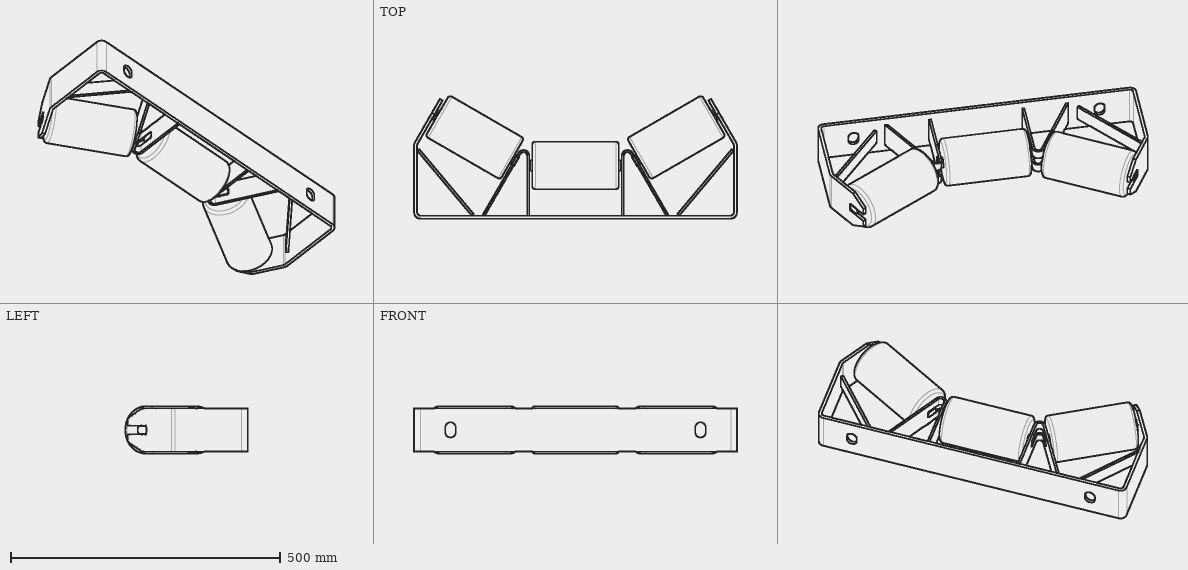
import cadquery as cq
import math

FRAME_LENGTH = 600.0
FRAME_WIDTH = 80.5
FRAME_THICKNESS = 6.0
FRAME_BEND_RADIUS = 12.0
TROUGH_ANGLE = 30.0
BEND_HEIGHT = 136.0
ARM_LENGTH = 93.0
TIP_CUT_LENGTH = 30.0
TIP_CUT_DEPTH = 18.0

MOUNT_SPACING = 464.5
MOUNT_WIDTH = 19.0
MOUNT_HEIGHT = 28.0

SUPPORT_WIDTH = 50.5
SUPPORT_THICKNESS = 4.0
SUPPORT_BEND_RADIUS = 11.0
SUPPORT_FACE_X = 86.0
SUPPORT_BEND_Y = 117.0

BRACE_WIDTH = 30.0
BRACE_THICKNESS = 5.0
BRACE_LENGTH = 157.0
BRACE_ANGLE = 50.0

ROLLER_DIAMETER = 89.0
ROLLER_LENGTH = 161.0
ROLLER_EDGE_RADIUS = 5.5
SHAFT_DIAMETER = 20.0
SHAFT_FLATS = 14.0
SHOULDER_GAP = 2.0
ROUND_LENGTH = 2 * (SUPPORT_FACE_X - SHOULDER_GAP)
SHAFT_LENGTH = 2 * (SUPPORT_FACE_X + SUPPORT_THICKNESS)
MIDDLE_ROLLER_Y = 99.0
SIDE_ROLLER_X = 187.0
SIDE_ROLLER_Y = 151.0

SHAFT_SLOT_WIDTH = 16.0
SHAFT_SLOT_CORNER = 3.0
SHAFT_SLOT_REACH = 2 * (SUPPORT_FACE_X + SUPPORT_BEND_RADIUS)

TILT = math.radians(TROUGH_ANGLE)
SIDE_AXIS = (math.cos(TILT), math.sin(TILT))
UP_ARM = (-math.sin(TILT), math.cos(TILT))
FRAME_SIDE_X = FRAME_LENGTH / 2
ARM_BEND_CENTRE = (FRAME_SIDE_X - FRAME_BEND_RADIUS, BEND_HEIGHT)


def along(point, direction, distance):
    """Point reached by moving a distance along a unit direction."""
    return (point[0] + distance * direction[0], point[1] + distance * direction[1])


def direction_at(degrees):
    """Unit direction at an angle from the X axis."""
    return (math.cos(math.radians(degrees)), math.sin(math.radians(degrees)))


def strip(outline, width):
    """Extrude a closed XY outline into a strip centred on Z = 0."""
    return outline.extrude(width).translate((0, 0, -width / 2))


def mirrored(body, side):
    """The +X body itself for side 1, its mirror image for side -1."""
    return body if side > 0 else body.mirror("YZ")


def place_middle(body):
    """Move a body from the X axis onto the middle roller axis."""
    return body.translate((0, MIDDLE_ROLLER_Y, 0))


def place_side(body):
    """Tilt and move a body from the X axis onto the +X side roller axis."""
    tilted = body.rotate((0, 0, 0), (0, 0, 1), TROUGH_ANGLE)
    return tilted.translate((SIDE_ROLLER_X, SIDE_ROLLER_Y, 0))


def round_bar(diameter, length):
    """Cylinder along the X axis, centred on the origin."""
    return cq.Workplane("YZ").circle(diameter / 2).extrude(length).translate((-length / 2, 0, 0))


def shaft_slot():
    """Cutter for a flat-bottomed slot that seats a shaft on the X axis and opens toward +Y."""
    return (
        cq.Workplane("XY")
        .box(SHAFT_SLOT_REACH, ARM_LENGTH, SHAFT_SLOT_WIDTH)
        .edges("|X and <Y")
        .fillet(SHAFT_SLOT_CORNER)
        .translate((0, (ARM_LENGTH - SHAFT_DIAMETER) / 2, 0))
    )


def make_roller():
    """Drum and shaft along the X axis."""
    drum = round_bar(ROLLER_DIAMETER, ROLLER_LENGTH).faces("|X").edges().fillet(ROLLER_EDGE_RADIUS)
    flats = cq.Workplane("XY").box(SHAFT_LENGTH, SHAFT_DIAMETER, SHAFT_FLATS)
    shaft_ends = round_bar(SHAFT_DIAMETER, SHAFT_LENGTH).intersect(flats)
    return drum.union(round_bar(SHAFT_DIAMETER, ROUND_LENGTH)).union(shaft_ends)


def frame_half_outline():
    """+X half of the bent strip, from the middle of the base to the arm tip."""
    outer = FRAME_BEND_RADIUS
    inner = outer - FRAME_THICKNESS
    inner_side_x = FRAME_SIDE_X - FRAME_THICKNESS
    base_bend = (FRAME_SIDE_X - outer, outer)
    base_mid = direction_at(-45)
    arm_mid = direction_at(TROUGH_ANGLE / 2)
    outer_foot = along(ARM_BEND_CENTRE, SIDE_AXIS, outer)
    inner_foot = along(ARM_BEND_CENTRE, SIDE_AXIS, inner)
    return (
        cq.Workplane("XY")
        .lineTo(base_bend[0], 0)
        .threePointArc(along(base_bend, base_mid, outer), (FRAME_SIDE_X, outer))
        .lineTo(FRAME_SIDE_X, BEND_HEIGHT)
        .threePointArc(along(ARM_BEND_CENTRE, arm_mid, outer), outer_foot)
        .lineTo(*along(outer_foot, UP_ARM, ARM_LENGTH))
        .lineTo(*along(inner_foot, UP_ARM, ARM_LENGTH))
        .lineTo(*inner_foot)
        .threePointArc(along(ARM_BEND_CENTRE, arm_mid, inner), (inner_side_x, BEND_HEIGHT))
        .lineTo(inner_side_x, outer)
        .threePointArc(along(base_bend, base_mid, inner), (base_bend[0], FRAME_THICKNESS))
        .lineTo(0, FRAME_THICKNESS)
        .close()
    )


def arm_tip_cuts():
    """Wedges that slope both corners of the +X arm tip."""
    tip = along(along(ARM_BEND_CENTRE, SIDE_AXIS, FRAME_BEND_RADIUS), UP_ARM, ARM_LENGTH)
    arm_plane = cq.Plane(origin=(*tip, 0), xDir=(*UP_ARM, 0), normal=(*SIDE_AXIS, 0))
    edge = FRAME_WIDTH / 2
    wedge = (
        cq.Workplane(arm_plane)
        .polyline([(0, edge), (-TIP_CUT_LENGTH, edge), (0, edge - TIP_CUT_DEPTH)])
        .close()
        .extrude(-FRAME_THICKNESS)
    )
    return wedge.union(wedge.mirror("XY"))


def mounting_slots():
    return (
        cq.Workplane("XZ")
        .pushPoints([(-MOUNT_SPACING / 2, 0), (MOUNT_SPACING / 2, 0)])
        .slot2D(MOUNT_HEIGHT, MOUNT_WIDTH, 90)
        .extrude(-FRAME_THICKNESS)
    )


def make_frame():
    half = strip(frame_half_outline(), FRAME_WIDTH)
    half = half.cut(arm_tip_cuts()).cut(place_side(shaft_slot()))
    return half.union(mirrored(half, -1)).cut(mounting_slots())


def make_support():
    """+X inverted V, with one slot from the middle shaft over the bend to the side shaft."""
    outer = SUPPORT_BEND_RADIUS
    inner = outer - SUPPORT_THICKNESS
    bend = (SUPPORT_FACE_X + outer, SUPPORT_BEND_Y)
    crown = direction_at(90 + TROUGH_ANGLE / 2)

    def leg_foot(radius):
        """Where a face of the leaning leg meets the base."""
        x, y = along(bend, SIDE_AXIS, radius)
        return (x + (y - FRAME_THICKNESS) * math.tan(TILT), FRAME_THICKNESS)

    outline = (
        cq.Workplane("XY")
        .moveTo(SUPPORT_FACE_X, FRAME_THICKNESS)
        .lineTo(SUPPORT_FACE_X, SUPPORT_BEND_Y)
        .threePointArc(along(bend, crown, outer), along(bend, SIDE_AXIS, outer))
        .lineTo(*leg_foot(outer))
        .lineTo(*leg_foot(inner))
        .lineTo(*along(bend, SIDE_AXIS, inner))
        .threePointArc(along(bend, crown, inner), (bend[0] - inner, SUPPORT_BEND_Y))
        .lineTo(bend[0] - inner, FRAME_THICKNESS)
        .close()
    )
    support = strip(outline, SUPPORT_WIDTH)
    return support.cut(place_middle(shaft_slot())).cut(place_side(shaft_slot()))


def make_brace():
    """+X brace, touching the inside of the frame side and the top of the base."""
    cos, sin = direction_at(BRACE_ANGLE)
    half_span_x = (BRACE_LENGTH * cos + BRACE_THICKNESS * sin) / 2
    half_span_y = (BRACE_LENGTH * sin + BRACE_THICKNESS * cos) / 2
    centre = (FRAME_SIDE_X - FRAME_THICKNESS - half_span_x, FRAME_THICKNESS + half_span_y, 0)
    bar = cq.Workplane("XY").box(BRACE_LENGTH, BRACE_THICKNESS, BRACE_WIDTH)
    return bar.rotate((0, 0, 0), (0, 0, 1), BRACE_ANGLE).translate(centre)


SIDES = (-1, 1)
frame = make_frame()
supports = [mirrored(make_support(), side) for side in SIDES]
braces = [mirrored(make_brace(), side) for side in SIDES]
side_rollers = [mirrored(place_side(make_roller()), side) for side in SIDES]
middle_roller = place_middle(make_roller())

bodies = [frame, *supports, *braces, *side_rollers, middle_roller]
result = cq.Compound.makeCompound([body.val() for body in bodies])